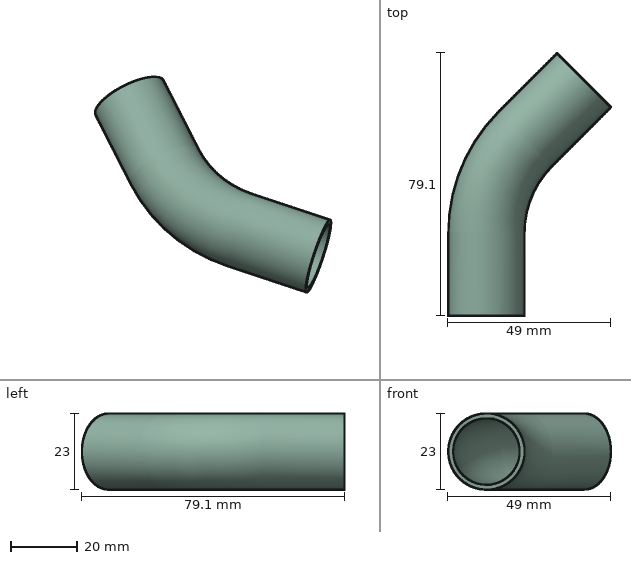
import cadquery as cq
import math

overall_length = 79.1
outer_diameter = 23.0
inner_diameter = 20.0
leg_length = 25.0
bend_angle = 45.0

sin_bend = math.sin(math.radians(bend_angle))
cos_bend = math.cos(math.radians(bend_angle))
end_rim_rise = outer_diameter / 2 * sin_bend
legs_rise = leg_length * (1 + cos_bend)
bend_radius = (overall_length - legs_rise - end_rim_rise) / sin_bend


def bend_point(angle):
    """Point on the centreline arc, at an angle in degrees from the bend start."""
    turn = math.radians(angle)
    return (
        bend_radius * (1 - math.cos(turn)),
        leg_length + bend_radius * math.sin(turn),
    )


bend_end = bend_point(bend_angle)
far_end = (bend_end[0] + leg_length * sin_bend, bend_end[1] + leg_length * cos_bend)
centreline = (
    cq.Workplane("XY")
    .lineTo(0, leg_length)
    .threePointArc(bend_point(bend_angle / 2), bend_end)
    .lineTo(*far_end)
)

result = (
    cq.Workplane("XZ")
    .circle(outer_diameter / 2)
    .circle(inner_diameter / 2)
    .sweep(centreline)
)